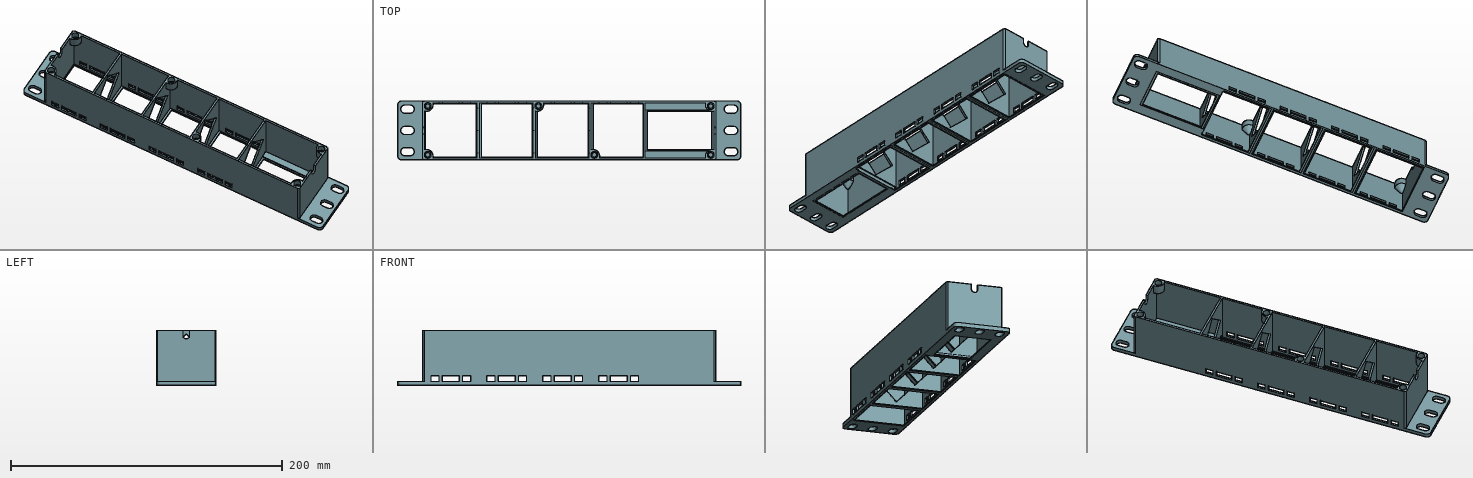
import cadquery as cq

LENGTH = 253.0
WIDTH = 43.5
HEIGHT = 40.5
PLATE_THICKNESS = 3.0
PLATE_CORNER_RADIUS = 3.0

BOX_LENGTH = 216.0
WALL = 1.5
BOX_CHAMFER_X = 1.5
BOX_CHAMFER_Y = 0.8

BAY_PITCH = 41.2
FIRST_BAY_X = -87.3
MODULE_BAYS = 4
FIRST_DIVIDER_X = -67.0
LAST_DIVIDER_X = 55.2
RIM_HEIGHT = 0.8
MODULE_OPENING_X = 37.2
MODULE_OPENING_Y = 39.0

LEDGE_HEIGHT = 1.5
LEDGE_GAP = 30.4
WIDE_OPENING_X = 47.3
WIDE_OPENING_Y = 28.0

DIAMOND_HALF_DIAGONAL = 16.7
DIAMOND_Z = 21.0

SLOT_BOTTOM = 3.0
SLOT_HEIGHT = 4.0
SIDE_SLOT_LENGTH = 5.8
MIDDLE_SLOT_LENGTH = 12.5
SIDE_SLOT_OFFSET = 11.6

EAR_SLOT_LENGTH = 9.9
EAR_SLOT_WIDTH = 5.8
EAR_SLOT_INSET = 7.3
EAR_SLOT_PITCH = 15.7

NOTCH_WIDTH = 5.0
NOTCH_DEPTH = 6.0

BOSS_RADIUS = 5.3
BOSS_HEIGHT = 7.5
BOSS_SHIFT = 1.3
SCREW_INSET = 3.8
SCREW_DIVIDER_OFFSET = 3.0
SCREW_DIAMETER = 3.3
SCREW_DEPTH = 7.5
SEAT_DIAMETER = 5.0
SEAT_DEPTH = 5.0

CAVITY_LENGTH = BOX_LENGTH - 2 * WALL
CAVITY_WIDTH = WIDTH - 2 * WALL

BAY_XS = [FIRST_BAY_X + BAY_PITCH * i for i in range(MODULE_BAYS)]
DIVIDER_XS = [FIRST_DIVIDER_X + BAY_PITCH * i for i in range(MODULE_BAYS - 1)] + [LAST_DIVIDER_X]

WIDE_BAY_START = LAST_DIVIDER_X + WALL / 2
WIDE_BAY_LENGTH = CAVITY_LENGTH / 2 - WIDE_BAY_START
WIDE_BAY_CENTER = (WIDE_BAY_START + WIDE_BAY_LENGTH / 2, 0)

SCREW_X = BOX_LENGTH / 2 - SCREW_INSET
SCREW_Y = WIDTH / 2 - SCREW_INSET
SCREWS = [
    (-SCREW_X, -SCREW_Y, -1, -1),
    (-SCREW_X, SCREW_Y, -1, 1),
    (SCREW_X, -SCREW_Y, 1, -1),
    (SCREW_X, SCREW_Y, 1, 1),
    (DIVIDER_XS[1] + SCREW_DIVIDER_OFFSET, SCREW_Y, -1, 1),
    (DIVIDER_XS[2] + SCREW_DIVIDER_OFFSET, -SCREW_Y, -1, -1),
]


def block(x_size, y_size, z_bottom, z_top, center=(0, 0)):
    """Upright block given by its footprint, its centre and its Z range."""
    return (
        cq.Workplane("XY", origin=(center[0], center[1], z_bottom))
        .rect(x_size, y_size)
        .extrude(z_top - z_bottom)
    )


def make_shell():
    """Mounting plate with a hollow, open-topped box standing on it."""
    plate = block(LENGTH, WIDTH, 0, PLATE_THICKNESS).edges("|Z").fillet(PLATE_CORNER_RADIUS)
    end_x = BOX_LENGTH / 2
    side_y = WIDTH / 2
    bevel_x = end_x - BOX_CHAMFER_X
    bevel_y = side_y - BOX_CHAMFER_Y
    box = (
        cq.Workplane("XY", origin=(0, 0, PLATE_THICKNESS))
        .polyline([
            (end_x, -bevel_y),
            (end_x, bevel_y),
            (bevel_x, side_y),
            (-bevel_x, side_y),
            (-end_x, bevel_y),
            (-end_x, -bevel_y),
            (-bevel_x, -side_y),
            (bevel_x, -side_y),
        ])
        .close()
        .extrude(HEIGHT - PLATE_THICKNESS)
    )
    cavity = block(CAVITY_LENGTH, CAVITY_WIDTH, RIM_HEIGHT, HEIGHT)
    return plate.union(box).cut(cavity)


def make_dividers():
    """Cross walls between the bays, each with a diamond-shaped window."""
    dividers = cq.Workplane("XY")
    for x in DIVIDER_XS:
        wall = block(WALL, CAVITY_WIDTH, 0, HEIGHT, (x, 0))
        diamond = (
            cq.Workplane("YZ", origin=(x, 0, DIAMOND_Z))
            .polyline([
                (DIAMOND_HALF_DIAGONAL, 0),
                (0, DIAMOND_HALF_DIAGONAL),
                (-DIAMOND_HALF_DIAGONAL, 0),
                (0, -DIAMOND_HALF_DIAGONAL),
            ])
            .close()
            .extrude(WALL, both=True)
        )
        dividers = dividers.add(wall.cut(diamond))
    return dividers.combine()


def make_ledges():
    """Two solid ledges along the long walls of the wide bay."""
    floor = block(WIDE_BAY_LENGTH, CAVITY_WIDTH, 0, LEDGE_HEIGHT, WIDE_BAY_CENTER)
    return floor.cut(block(WIDE_BAY_LENGTH, LEDGE_GAP, RIM_HEIGHT, LEDGE_HEIGHT, WIDE_BAY_CENTER))


def make_floor_openings():
    """Rectangular openings through the floor, one per bay."""
    openings = block(WIDE_OPENING_X, WIDE_OPENING_Y, 0, PLATE_THICKNESS, WIDE_BAY_CENTER)
    for x in BAY_XS:
        openings = openings.union(block(MODULE_OPENING_X, MODULE_OPENING_Y, 0, PLATE_THICKNESS, (x, 0)))
    return openings


def make_bosses():
    """Short round bosses ending in a 45 degree cone, each trimmed to its own bay."""
    profile = (
        cq.Workplane("XZ")
        .polyline([
            (0, 0),
            (BOSS_RADIUS, 0),
            (BOSS_RADIUS, -BOSS_HEIGHT),
            (0, -BOSS_HEIGHT - BOSS_RADIUS),
        ])
        .close()
    )
    boss = profile.revolve(360, (0, 0), (0, 1))
    cavity = block(CAVITY_LENGTH, CAVITY_WIDTH, 0, HEIGHT)
    bosses = cq.Workplane("XY")
    for x, y, toward_x, toward_y in SCREWS:
        center = (x + toward_x * BOSS_SHIFT, y + toward_y * BOSS_SHIFT, HEIGHT)
        bosses = bosses.add(boss.translate(center).intersect(cavity))
    bosses = bosses.combine()
    for x in DIVIDER_XS:
        bosses = bosses.cut(block(BOSS_RADIUS, CAVITY_WIDTH, 0, HEIGHT, (x - BOSS_RADIUS / 2, 0)))
    return bosses


def make_screw_holes():
    """Stepped blind hole per boss: a wider seat above a narrower screw hole."""
    centers = [screw[:2] for screw in SCREWS]
    rim = cq.Workplane("XY", origin=(0, 0, HEIGHT)).pushPoints(centers)
    screw_holes = rim.circle(SCREW_DIAMETER / 2).extrude(-SCREW_DEPTH)
    seats = rim.circle(SEAT_DIAMETER / 2).extrude(-SEAT_DEPTH)
    return screw_holes.union(seats)


def make_wall_slots():
    """Three rectangular slots per module bay, through both long walls."""
    slots = cq.Workplane("XY")
    slot_layout = (
        (-SIDE_SLOT_OFFSET, SIDE_SLOT_LENGTH),
        (0, MIDDLE_SLOT_LENGTH),
        (SIDE_SLOT_OFFSET, SIDE_SLOT_LENGTH),
    )
    for bay_x in BAY_XS:
        for offset, length in slot_layout:
            slot = block(length, WIDTH, SLOT_BOTTOM, SLOT_BOTTOM + SLOT_HEIGHT, (bay_x + offset, 0))
            slots = slots.add(slot)
    return slots.combine()


def make_ear_slots():
    """Three elongated holes in each mounting ear."""
    ear_x = LENGTH / 2 - EAR_SLOT_INSET
    centers = [(side * ear_x, row * EAR_SLOT_PITCH) for side in (-1, 1) for row in (-1, 0, 1)]
    return (
        cq.Workplane("XY")
        .pushPoints(centers)
        .slot2D(EAR_SLOT_LENGTH, EAR_SLOT_WIDTH)
        .extrude(PLATE_THICKNESS)
    )


def make_end_notches():
    """Round-bottomed notches cut down from the rim through both end walls."""
    notches = cq.Workplane("XY")
    notch_radius = NOTCH_WIDTH / 2
    for side in (-1, 1):
        notch = (
            cq.Workplane("YZ", origin=(side * (BOX_LENGTH - WALL) / 2, 0, HEIGHT))
            .moveTo(-notch_radius, 0)
            .lineTo(-notch_radius, notch_radius - NOTCH_DEPTH)
            .threePointArc((0, -NOTCH_DEPTH), (notch_radius, notch_radius - NOTCH_DEPTH))
            .lineTo(notch_radius, 0)
            .close()
            .extrude(WALL, both=True)
        )
        notches = notches.add(notch)
    return notches.combine()


body = make_shell().union(make_ledges()).union(make_dividers()).union(make_bosses())
result = (
    body.cut(make_screw_holes())
    .cut(make_floor_openings())
    .cut(make_wall_slots())
    .cut(make_ear_slots())
    .cut(make_end_notches())
)